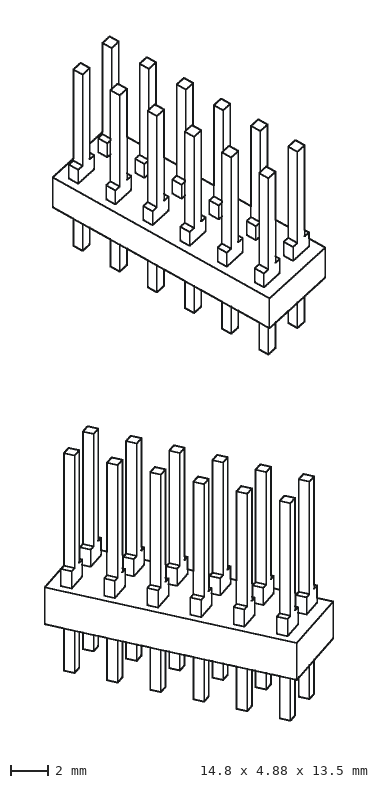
import cadquery as cq

PITCH = 2.54
COLUMNS = 6
ROWS = 2

BODY_LENGTH = 14.83
BODY_WIDTH = 4.88
BODY_HEIGHT = 2.30

PIN_SIZE = 0.635
PIN_LENGTH = 13.54
TAIL_LENGTH = 3.17
SHOULDER_WIDTH = 1.40
SHOULDER_HEIGHT = 1.07


def make_body():
    return cq.Workplane("XY").box(BODY_LENGTH, BODY_WIDTH, BODY_HEIGHT, centered=(True, True, False))


def make_pin(x, y):
    """Square pin through the body, with its shoulder widened along Y."""
    post = (
        cq.Workplane("XY", origin=(x, y, -TAIL_LENGTH))
        .rect(PIN_SIZE, PIN_SIZE)
        .extrude(PIN_LENGTH)
    )
    shoulder = (
        cq.Workplane("XY", origin=(x, y, 0))
        .rect(PIN_SIZE, SHOULDER_WIDTH)
        .extrude(BODY_HEIGHT + SHOULDER_HEIGHT)
    )
    return post.union(shoulder)


result = make_body()
for column in range(COLUMNS):
    for row in range(ROWS):
        pin_x = (column - (COLUMNS - 1) / 2) * PITCH
        pin_y = (row - (ROWS - 1) / 2) * PITCH
        result = result.union(make_pin(pin_x, pin_y))